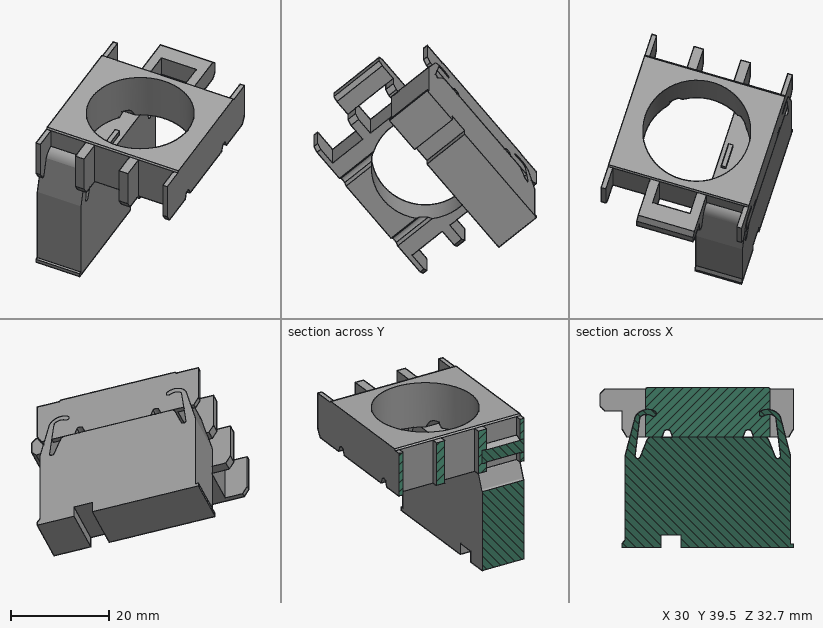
import cadquery as cq
import math


pitch = 10.0
bay_count = 3
holder_width = bay_count * pitch
holder_height = 10.15
crown_height = 0.3
shoulder_height = holder_height - crown_height
block_length = 25.45
crown_top_length = 24.8
bore_diameter = 22.0
rib_length = 35.0
rib_thickness = 2.0
rib_chamfer_y = 1.0
rib_chamfer_z = 1.65

tab_reach = 4.5
tab_height = 4.5
tab_chamfer = 1.0

groove_y = 8.25
groove_half_width = 1.05
groove_neck_half_width = 0.6
groove_neck_height = 1.25
groove_height = 1.5

contact_width = pitch
contact_left = -holder_width / 2
contact_height = 22.5
contact_half_length = 16.9
arm_root_y = contact_half_length
arm_root_z = -3.9
foot_half_length = rib_length / 2
foot_height = 0.8
back_foot_slope_top = 1.58
foot_notch_y = 7.5
foot_notch_width = 4.0
foot_notch_height = 2.53

hook_centre = (12.3, 2.9)
hook_outer_radius = 2.75
hook_inner_radius = 1.78
hook_tip_angle = 57
arm_outer_top = (14.85, 4.03)
arm_inner_top = (13.82, 4.05)
slot_outer = (14.77, -3.65)
slot_bottom = (14.22, -4.35)
slot_inner = (13.8, -4.03)
slot_mouth = (12.2, 0)
slot_mouth_radius = 1.0

plunger_width = 1.0
plunger_length = 5.0
plunger_height = 1.0
plunger_centre_x = -6.48


def extrude_along_x(outline, x_start, width):
    """Extrude a closed Y-Z outline along +X from x_start."""
    return outline.extrude(width).translate((x_start, 0, 0))


def make_block():
    """Central block with its bevelled crown."""
    half = block_length / 2
    crown_half = crown_top_length / 2
    outline = cq.Workplane("YZ").polyline([
        (-half, 0),
        (half, 0),
        (half, shoulder_height),
        (crown_half, holder_height),
        (-crown_half, holder_height),
        (-half, shoulder_height),
    ]).close()
    return extrude_along_x(outline, -holder_width / 2, holder_width)


def make_ribs():
    """Ribs along Y at every bay border, clipped at the two ends of the holder."""
    half = rib_length / 2
    ribs = []
    for index in range(bay_count + 1):
        border = -holder_width / 2 + index * pitch
        left = max(border - rib_thickness / 2, -holder_width / 2)
        right = min(border + rib_thickness / 2, holder_width / 2)
        outline = cq.Workplane("YZ").polyline([
            (-half + rib_chamfer_y, 0),
            (half - rib_chamfer_y, 0),
            (half, rib_chamfer_z),
            (half, shoulder_height),
            (-half, shoulder_height),
            (-half, rib_chamfer_z),
        ]).close()
        ribs.append(extrude_along_x(outline, left, right - left))
    return ribs


def make_tab():
    """Bar across the back tips of the two inner ribs, with bevelled outer edges."""
    width = pitch + rib_thickness
    rib_tip = rib_length / 2
    bar = cq.Workplane("XY").box(width, tab_reach, tab_height, centered=(True, False, False))
    bar = bar.edges("|X and >Y").chamfer(tab_chamfer)
    return bar.translate((0, rib_tip, shoulder_height - tab_height))


def make_groove(y):
    """Round-topped groove along X in the holder underside."""
    outline = (
        cq.Workplane("YZ")
        .moveTo(y - groove_half_width, 0)
        .lineTo(y - groove_neck_half_width, groove_neck_height)
        .threePointArc((y, groove_height), (y + groove_neck_half_width, groove_neck_height))
        .lineTo(y + groove_half_width, 0)
        .close()
    )
    return extrude_along_x(outline, -holder_width / 2, holder_width)


def make_holder(contact_block):
    """Holder with bore, grooves and recesses that fit the contact block's hooks."""
    holder = make_block()
    for rib in make_ribs():
        holder = holder.union(rib)
    holder = holder.union(make_tab())
    bore = cq.Workplane("XY").circle(bore_diameter / 2).extrude(holder_height)
    holder = holder.cut(bore)
    for side in (-1, 1):
        holder = holder.cut(make_groove(side * groove_y))
    return holder.cut(contact_block)


def hook_point(radius, angle):
    """Point at a radius and angle (degrees) round the hook centre; 0 degrees points to -Y."""
    y = hook_centre[0] - radius * math.cos(math.radians(angle))
    z = hook_centre[1] + radius * math.sin(math.radians(angle))
    return (y, z)


def make_arm():
    """Spring arm on the +Y side, ending in an inward hook with a round tip."""
    crest_angle = 90
    outer_crest = hook_point(hook_outer_radius, crest_angle)
    outer_tip = hook_point(hook_outer_radius, hook_tip_angle)
    inner_crest = hook_point(hook_inner_radius, crest_angle)
    inner_tip = hook_point(hook_inner_radius, hook_tip_angle)
    middle_radius = (hook_outer_radius + hook_inner_radius) / 2
    tip_radius = (hook_outer_radius - hook_inner_radius) / 2
    tip_y, tip_z = hook_point(middle_radius, hook_tip_angle)
    tip_end = (
        tip_y - tip_radius * math.sin(math.radians(hook_tip_angle)),
        tip_z - tip_radius * math.cos(math.radians(hook_tip_angle)),
    )
    outline = (
        cq.Workplane("YZ")
        .moveTo(arm_root_y, arm_root_z)
        .lineTo(*arm_outer_top)
        .threePointArc(outer_crest, outer_tip)
        .threePointArc(tip_end, inner_tip)
        .threePointArc(inner_crest, arm_inner_top)
        .lineTo(*slot_outer)
        .close()
    )
    return extrude_along_x(outline, contact_left, contact_width)


def make_slot():
    """Flared slot on the +Y side that frees the spring arm from the body."""
    outline = (
        cq.Workplane("YZ")
        .moveTo(*arm_inner_top)
        .lineTo(*slot_outer)
        .threePointArc(slot_bottom, slot_inner)
        .lineTo(*slot_mouth)
        .close()
    )
    return extrude_along_x(outline, contact_left, contact_width)


def make_contact_body():
    """Body of the contact block with sloped shoulders and a foot at each end."""
    bottom = -contact_height
    slope = (arm_outer_top[0] - arm_root_y) / (arm_outer_top[1] - arm_root_z)
    top_half = arm_root_y - slope * arm_root_z
    outline = cq.Workplane("YZ").polyline([
        (-foot_half_length, bottom),
        (foot_half_length, bottom),
        (foot_half_length, bottom + foot_height),
        (contact_half_length, bottom + back_foot_slope_top),
        (contact_half_length, arm_root_z),
        (top_half, 0),
        (-top_half, 0),
        (-contact_half_length, arm_root_z),
        (-contact_half_length, bottom + foot_height),
        (-foot_half_length, bottom + foot_height),
    ]).close()
    return extrude_along_x(outline, contact_left, contact_width)


def make_contact_block():
    """Contact block: body, two spring arms, foot notch and plunger."""
    contact = make_contact_body()
    contact_centre_x = contact_left + contact_width / 2
    slot = make_slot()
    arm = make_arm()
    for side in (-1, 1):
        side_slot = slot if side > 0 else slot.mirror("XZ")
        side_arm = arm if side > 0 else arm.mirror("XZ")
        contact = contact.cut(side_slot)
        mouth_edge = cq.selectors.NearestToPointSelector((contact_centre_x, side * slot_mouth[0], 0))
        contact = contact.edges(mouth_edge).fillet(slot_mouth_radius)
        contact = contact.union(side_arm)
    notch = (
        cq.Workplane("XY")
        .box(contact_width, foot_notch_width, foot_notch_height, centered=(True, True, False))
        .translate((contact_centre_x, foot_notch_y, -contact_height))
    )
    plunger = (
        cq.Workplane("XY")
        .box(plunger_width, plunger_length, plunger_height, centered=(True, True, False))
        .translate((plunger_centre_x, 0, 0))
    )
    return contact.cut(notch).union(plunger)


contact_block = make_contact_block()
holder = make_holder(contact_block)

result = cq.Compound.makeCompound([holder.solids().val(), contact_block.solids().val()])